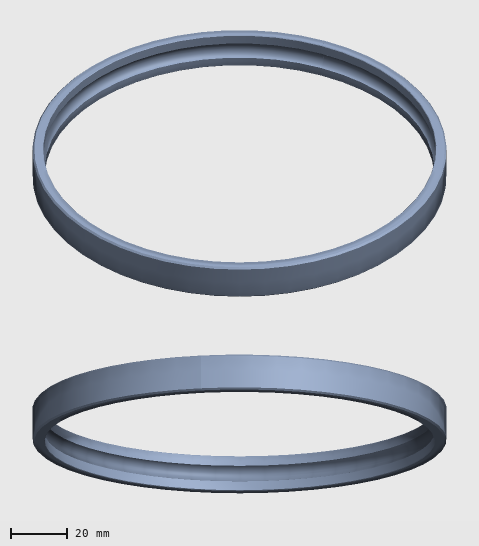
import cadquery as cq
import math

outer_radius = 146.05 / 2
width = 12.7
upper_land_radius = 69.25
lower_land_radius = 68.75
outer_chamfer = 0.6
bore_chamfer = 0.2

groove_radius = 3.0
groove_centre_radius = 68.26

split_width = 0.02


def groove_edge_height(land_radius):
    """Distance from the mid-plane at which the ball groove meets a land."""
    return math.sqrt(groove_radius**2 - (land_radius - groove_centre_radius) ** 2)


def make_ring():
    """Revolve the wall section, drawn as (radius, height), around Z."""
    half_width = width / 2
    return (
        cq.Workplane("YZ")
        .moveTo(lower_land_radius, bore_chamfer - half_width)
        .lineTo(lower_land_radius + bore_chamfer, -half_width)
        .lineTo(outer_radius - outer_chamfer, -half_width)
        .lineTo(outer_radius, outer_chamfer - half_width)
        .lineTo(outer_radius, half_width - outer_chamfer)
        .lineTo(outer_radius - outer_chamfer, half_width)
        .lineTo(upper_land_radius + bore_chamfer, half_width)
        .lineTo(upper_land_radius, half_width - bore_chamfer)
        .lineTo(upper_land_radius, groove_edge_height(upper_land_radius))
        .threePointArc(
            (groove_centre_radius + groove_radius, 0),
            (lower_land_radius, -groove_edge_height(lower_land_radius)),
        )
        .close()
        .revolve(360, (0, 0, 0), (0, 1, 0))
    )


def make_split():
    """Thin block that cuts the ring wall once, at +Y."""
    return cq.Workplane("XY").box(split_width, outer_radius, width).translate((0, outer_radius, 0))


result = make_ring().cut(make_split())